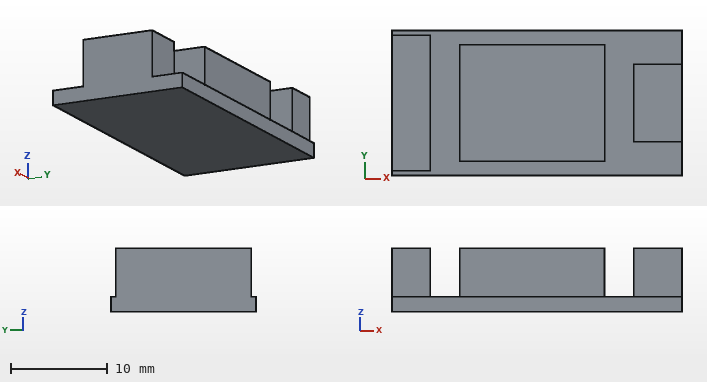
import cadquery as cq

board_length = 30.0
board_width = 15.0
total_height = 6.6
board_thickness = 1.6
block_height = total_height - board_thickness

left_block_length = 4.0
left_block_width = 14.0
center_block_length = 15.0
center_block_width = 12.0
center_block_start = 7.0
right_block_length = 5.0
right_block_width = 8.0


def block(start, length, width):
    """Block centred across the board, starting at a distance from its left end."""
    center_x = start + length / 2 - board_length / 2
    return (
        cq.Workplane("XY", origin=(center_x, 0, board_thickness))
        .rect(length, width)
        .extrude(block_height)
    )


board = cq.Workplane("XY").rect(board_length, board_width).extrude(board_thickness)

left_block = block(0, left_block_length, left_block_width)
center_block = block(center_block_start, center_block_length, center_block_width)
right_block = block(board_length - right_block_length, right_block_length, right_block_width)

result = board.union(left_block).union(center_block).union(right_block)